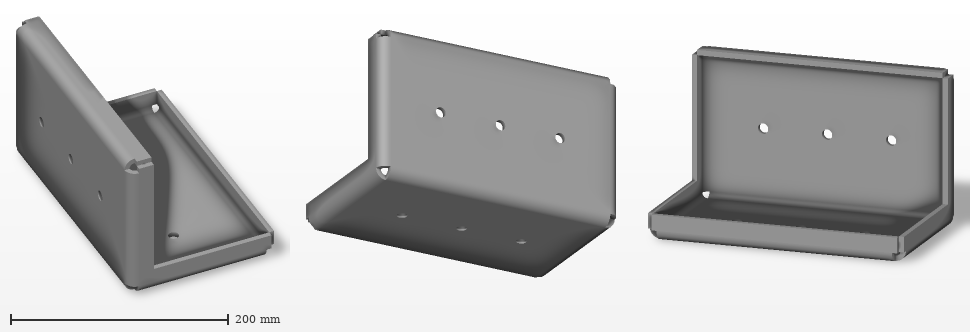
import cadquery as cq
import math

length = 250.0
leg = 150.0
sheet = 5.0
bend_outer = 10.0
lip_height = 25.0
hole_diameter = 10.0
hole_spacing = length / 4

bend_inner = bend_outer - sheet
flat_length = length - 2 * bend_outer
flat_leg = leg - 2 * bend_outer
half_length = length / 2


def box_between(low, high):
    size = [b - a for a, b in zip(low, high)]
    return cq.Workplane("XY").box(*size, centered=False).translate(low)


def add_bend_section(plane, corner, direction):
    """Quarter-ring sketch whose convex side faces the given corner of the section."""
    center = corner - direction * bend_outer
    diagonal = math.sqrt(0.5)

    def point(radius, across, down):
        return (center + direction * radius * across, bend_outer - radius * down)

    return (
        plane.moveTo(*point(bend_inner, 0, 1))
        .lineTo(*point(bend_outer, 0, 1))
        .threePointArc(point(bend_outer, diagonal, diagonal), point(bend_outer, 1, 0))
        .lineTo(*point(bend_inner, 1, 0))
        .threePointArc(point(bend_inner, diagonal, diagonal), point(bend_inner, 0, 1))
        .close()
    )


def long_bend(corner_y, direction):
    """Bend running along X beneath the edge at corner_y."""
    plane = cq.Workplane("YZ", origin=(-flat_length / 2, 0, 0))
    return add_bend_section(plane, corner_y, direction).extrude(flat_length)


def side_bend(side):
    """Bend running along Y at the end of the leg; side is -1 or 1."""
    plane = cq.Workplane("XZ", origin=(0, bend_outer, 0))
    return add_bend_section(plane, side * half_length, side).extrude(-flat_leg)


def side_lip(side):
    outer_x = side * half_length
    inner_x = side * (half_length - sheet)
    return box_between(
        (min(outer_x, inner_x), bend_outer, bend_outer),
        (max(outer_x, inner_x), leg - sheet, lip_height),
    )


def horizontal_leg():
    web = box_between(
        (-flat_length / 2, bend_outer, 0),
        (flat_length / 2, leg - bend_outer, sheet),
    )
    end_lip = box_between(
        (sheet - half_length, leg - sheet, bend_outer),
        (half_length - sheet, leg, lip_height),
    )
    body = web.union(long_bend(leg, 1)).union(end_lip)
    for side in (-1, 1):
        body = body.union(side_bend(side)).union(side_lip(side))
    holes = (
        cq.Workplane("XY")
        .pushPoints([(i * hole_spacing, leg / 2) for i in (-1, 0, 1)])
        .circle(hole_diameter / 2)
        .extrude(sheet)
    )
    return body.cut(holes)


floor = horizontal_leg()
upright = floor.mirror(cq.Vector(0, 1, -1))
result = floor.union(long_bend(0, -1)).union(upright)